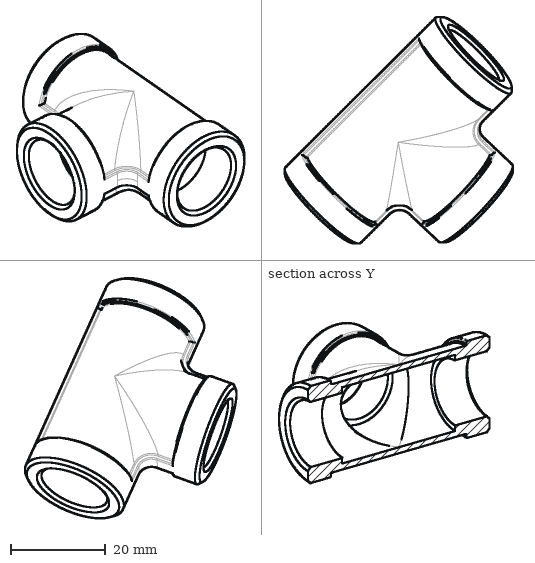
import cadquery as cq

RUN_LENGTH = 47.0
BAND_DIAMETER = 22.5
BODY_DIAMETER = 20.5
BORE_DIAMETER = 14.95
CHAMBER_DIAMETER = 17.5

BAND_LENGTH = 6.0
BORE_DEPTH = 9.0
RIB_WIDTH = 4.05
CROTCH_RADIUS = 4.0
STEP_RADIUS = 0.3
CHAMFER = 0.75
TOUCH_TOLERANCE = 0.0005

REACH = RUN_LENGTH / 2
BODY_RADIUS = BODY_DIAMETER / 2
BAND_RADIUS = BAND_DIAMETER / 2
BORE_RADIUS = BORE_DIAMETER / 2
CHAMBER_RADIUS = CHAMBER_DIAMETER / 2
BAND_START = REACH - BAND_LENGTH
BAND_MIDDLE = REACH - BAND_LENGTH / 2
CHAMBER_REACH = REACH - BORE_DEPTH
RIB_CROTCH_RADIUS = CROTCH_RADIUS - (BAND_RADIUS - BODY_RADIUS)


def tee(radius, reach):
    """Run and branch cylinders of equal radius, meeting in sharp crotches."""
    run = cq.Workplane("YZ").circle(radius).extrude(reach, both=True)
    branch = cq.Workplane("XZ").circle(radius).extrude(reach)
    return run.union(branch)


def blended_tee(radius, reach, crotch_radius):
    """Tee whose two crotches are rounded, the blend fading out at the crests."""
    return tee(radius, reach).edges("%ELLIPSE").fillet(crotch_radius)


def rounded_rib():
    """Rib along the outline of the tee, its outer edges rounded; it ends inside the bands."""
    slab = cq.Workplane("XY").box(RUN_LENGTH, RUN_LENGTH, RIB_WIDTH)
    rib = blended_tee(BAND_RADIUS, BAND_MIDDLE, RIB_CROTCH_RADIUS).intersect(slab)
    return rib.faces("|Z").edges().fillet(STEP_RADIUS)


def band():
    """Band of the +X port: chamfered at the port face, rounded at its inner end."""
    disc = cq.Workplane("YZ", origin=(BAND_START, 0, 0)).circle(BAND_RADIUS).extrude(BAND_LENGTH)
    disc = disc.faces(">X").edges().chamfer(CHAMFER)
    return disc.faces("<X").edges().fillet(STEP_RADIUS)


def bore():
    """Bore of the +X port from the chamber to the port face, with a chamfered mouth."""
    mouth_start = REACH - CHAMFER
    mouth_radius = BORE_RADIUS + CHAMFER
    half_section = [
        (CHAMBER_REACH, 0),
        (CHAMBER_REACH, BORE_RADIUS),
        (mouth_start, BORE_RADIUS),
        (REACH, mouth_radius),
        (REACH, 0),
    ]
    return cq.Workplane("XY").polyline(half_section).close().revolve(360, (0, 0, 0), (1, 0, 0))


def at_ports(feature):
    """Copies of a feature of the +X port, turned onto the +X, -X and -Y ports."""
    return [feature.rotate((0, 0, 0), (0, 0, 1), angle) for angle in (0, 180, -90)]


def lies_on(edge, skin):
    """True if both ends of the edge touch the given skin."""
    ends = (edge.startPoint(), edge.endPoint())
    return all(cq.Vertex.makeVertex(*end.toTuple()).distance(skin) < TOUCH_TOLERANCE for end in ends)


def is_step_wall(face):
    """True for a flat wall of the rib or a band, false for a port face."""
    centre = face.Center()
    return max(abs(centre.x), abs(centre.y)) < BAND_MIDDLE


def foot_edges(shape, bare_body):
    """Edges where the flat walls of the bands and rib stand on the body."""
    skin = bare_body.val().Shells()[0]
    walls = [face for face in shape.faces("%PLANE").vals() if is_step_wall(face)]
    return [edge for wall in walls for edge in wall.Edges() if lies_on(edge, skin)]


body = blended_tee(BODY_RADIUS, BAND_MIDDLE, CROTCH_RADIUS)
fitting = body.union(rounded_rib())
for port_band in at_ports(band()):
    fitting = fitting.union(port_band)
fitting = fitting.newObject(foot_edges(fitting, body)).fillet(STEP_RADIUS)

fitting = fitting.cut(tee(CHAMBER_RADIUS, CHAMBER_REACH))
for port_bore in at_ports(bore()):
    fitting = fitting.cut(port_bore)

result = fitting